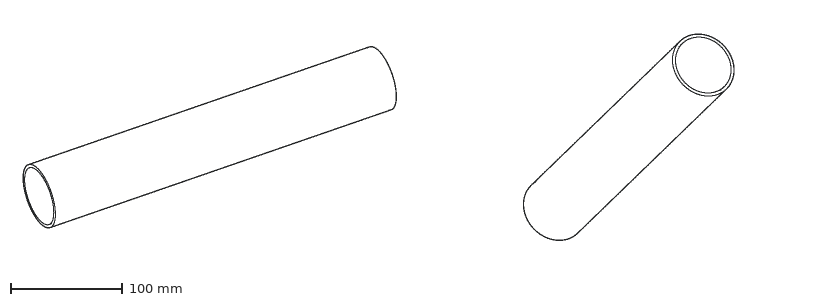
import cadquery as cq

outer_diameter = 60.0
wall_thickness = 3.0
length = 350.0

inner_diameter = outer_diameter - 2 * wall_thickness


def make_tube():
    """Extrude the ring-shaped section along -Y from the tube's +Y end."""
    section = cq.Workplane("XZ", origin=(0, length / 2, 0))
    section = section.circle(outer_diameter / 2).circle(inner_diameter / 2)
    return section.extrude(length)


result = make_tube()